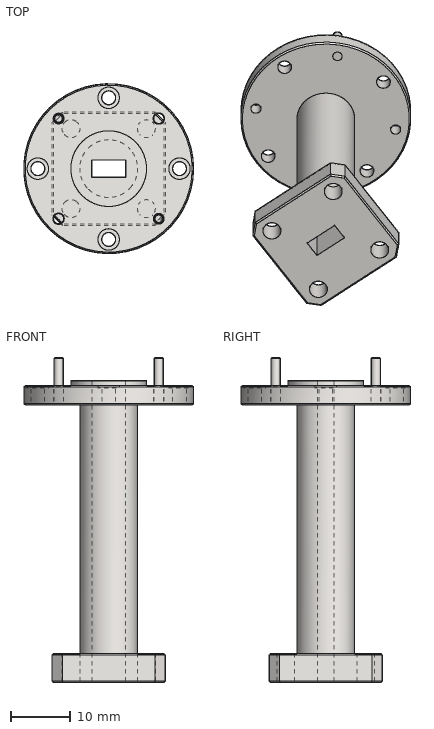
import cadquery as cq
import math

TOTAL_HEIGHT = 54.65
RIM_CHAMFER = 0.25

SQUARE_WIDTH = 19.1
SQUARE_THICKNESS = 4.85
SQUARE_CORNER_CUT = 1.75
SQUARE_HOLE_DIAMETER = 3.0
SQUARE_HOLE_SPACING_X = 12.7
SQUARE_HOLE_SPACING_Y = 13.45

FLANGE_DIAMETER = 28.6
FLANGE_THICKNESS = 3.3
FLANGE_TOP = 49.95
FACE_DIAMETER = 12.75
FACE_HEIGHT = 0.8

TUBE_DIAMETER = 9.75
PASSAGE_WIDTH = 5.7
PASSAGE_HEIGHT = 2.85

PITCH_RADIUS = 11.9
BOLT_HOLE_DIAMETER = 2.3
COUNTERBORE_DIAMETER = 3.6
COUNTERBORE_DEPTH = 0.45
EMPTY_DOWEL_HOLE_DIAMETER = 1.7
DOWEL_HOLE_CHAMFER = 0.1

PIN_DIAMETER = 1.6
PIN_TIP_CHAMFER = 0.15

FLANGE_BOTTOM = FLANGE_TOP - FLANGE_THICKNESS
BOLT_ANGLES = [0, 90, 180, 270]
EMPTY_DOWEL_ANGLES = [45, 225]
PIN_ANGLES = [135, 315]


def on_pitch_circle(angle):
    """Point on the flange pitch circle at an angle in degrees from +X."""
    turn = math.radians(angle)
    return (PITCH_RADIUS * math.cos(turn), PITCH_RADIUS * math.sin(turn))


def make_square_flange():
    """Square plate with cut corners, chamfered rims and four bolt holes."""
    plate = (
        cq.Workplane("XY")
        .rect(SQUARE_WIDTH, SQUARE_WIDTH)
        .extrude(SQUARE_THICKNESS)
        .edges("|Z")
        .chamfer(SQUARE_CORNER_CUT)
        .faces("<Z or >Z")
        .edges()
        .chamfer(RIM_CHAMFER)
    )
    return (
        plate.faces(">Z")
        .workplane(origin=(0, 0, SQUARE_THICKNESS))
        .rect(SQUARE_HOLE_SPACING_X, SQUARE_HOLE_SPACING_Y, forConstruction=True)
        .vertices()
        .hole(SQUARE_HOLE_DIAMETER)
    )


def make_dowel_hole(angle, diameter):
    """Cutter for a through hole in the round flange with a chamfered mouth."""
    center = cq.Workplane("XY", origin=(0, 0, FLANGE_TOP)).center(*on_pitch_circle(angle))
    hole = center.circle(diameter / 2).extrude(-FLANGE_THICKNESS)
    mouth = center.circle(diameter / 2 + DOWEL_HOLE_CHAMFER).extrude(-DOWEL_HOLE_CHAMFER, taper=45)
    return hole.union(mouth)


def make_round_flange():
    """Disc with chamfered rims, counterbored bolt holes and chamfered dowel holes."""
    disc = (
        cq.Workplane("XY", origin=(0, 0, FLANGE_BOTTOM))
        .circle(FLANGE_DIAMETER / 2)
        .extrude(FLANGE_THICKNESS)
        .faces("<Z or >Z")
        .edges()
        .chamfer(RIM_CHAMFER)
    )
    top = cq.Workplane("XY", origin=(0, 0, FLANGE_TOP))
    bolt_points = [on_pitch_circle(angle) for angle in BOLT_ANGLES]
    bolt_holes = top.pushPoints(bolt_points).circle(BOLT_HOLE_DIAMETER / 2).extrude(-FLANGE_THICKNESS)
    counterbores = top.pushPoints(bolt_points).circle(COUNTERBORE_DIAMETER / 2).extrude(-COUNTERBORE_DEPTH)
    flange = disc.cut(bolt_holes).cut(counterbores)
    for angle in EMPTY_DOWEL_ANGLES:
        flange = flange.cut(make_dowel_hole(angle, EMPTY_DOWEL_HOLE_DIAMETER))
    for angle in PIN_ANGLES:
        flange = flange.cut(make_dowel_hole(angle, PIN_DIAMETER))
    return flange


def make_waveguide():
    """Both flanges joined by the tube, with the passage cut from end to end."""
    tube = (
        cq.Workplane("XY", origin=(0, 0, SQUARE_THICKNESS))
        .circle(TUBE_DIAMETER / 2)
        .extrude(FLANGE_BOTTOM - SQUARE_THICKNESS)
    )
    raised_face = (
        cq.Workplane("XY", origin=(0, 0, FLANGE_TOP))
        .circle(FACE_DIAMETER / 2)
        .extrude(FACE_HEIGHT)
    )
    passage = cq.Workplane("XY").rect(PASSAGE_WIDTH, PASSAGE_HEIGHT).extrude(TOTAL_HEIGHT)
    return make_square_flange().union(tube).union(make_round_flange()).union(raised_face).cut(passage)


def make_pin(angle):
    """Dowel pin filling its flange hole and standing up to the full height."""
    return (
        cq.Workplane("XY", origin=(0, 0, FLANGE_BOTTOM))
        .center(*on_pitch_circle(angle))
        .circle(PIN_DIAMETER / 2)
        .extrude(TOTAL_HEIGHT - FLANGE_BOTTOM)
        .faces(">Z")
        .edges()
        .chamfer(PIN_TIP_CHAMFER)
    )


waveguide = make_waveguide()
pins = [make_pin(angle) for angle in PIN_ANGLES]

result = cq.Compound.makeCompound([waveguide.val(), *[pin.val() for pin in pins]])